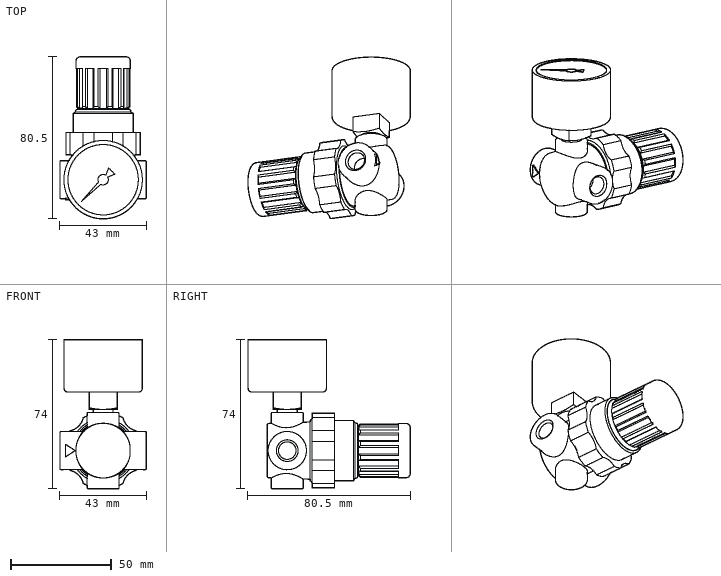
import cadquery as cq
import math


block_front_y = -10.0
block_front_radius = 13.5
block_back_radius = 14.25
block_edge_fillet = 1.0
collar_front_y = 11.35
collar_radius = 15.9
collar_chamfer = 1.0

nut_front_y = collar_front_y + collar_chamfer
nut_back_y = 23.5
nut_radius = 19.1
nut_lobes = 8
lobe_half_angle = 8.7
hollow_floor_radius = 17.2

bonnet_radius = 15.0
bonnet_back_y = 33.5
bonnet_chamfer_length = 0.6
bonnet_chamfer_depth = 1.05
ring_radius = 13.8
ring_back_y = 34.9
ring_fillet = 1.0

knob_neck_radius = 10.7
knob_front_y = 35.4
knob_back_y = 61.0
knob_radius = 13.5
knob_cap_length = 5.95
knob_cap_fillet = 2.2
rib_end_chamfer = 0.8
flute_count = 12
flute_floor_radius = knob_radius - rib_end_chamfer
flute_floor_half_width = 1.6
flute_mouth_half_width = 2.5
flute_clearance = 0.8

flow_port_radius = 9.5
flow_port_reach = 21.5
flow_bore_radius = 4.35
flow_bore_depth = 9.7
flow_bore_chamfer = 1.05
gauge_port_radius = 8.0
gauge_port_reach = 19.0
port_edge_fillet = 0.7

arrow_tail_x = -18.6
arrow_tip_x = -13.85
arrow_half_width = 3.05

gauge_neck_radius = 5.0
gauge_square_bottom_z = 20.45
gauge_square_side = 14.0
gauge_square_bevel_angle = 15
gauge_case_bottom_z = 29.0
gauge_case_top_z = 55.0
gauge_case_radius = 19.5
gauge_case_fillet = 1.9
dial_radius = 17.5
dial_depth = 0.5

pointer_height = 0.25
pointer_angle = 45
hub_radius = 2.6
tail_length = 6.0
tail_half_width = 2.2
tail_root_half_width = 0.65
needle_length = 15.1
needle_root_half_width = 0.8


def y_plane(y):
    """Plane across the regulator axis at position y, facing -Y; local x along X, local y along Z."""
    return cq.Workplane("XZ", origin=(0, y, 0))


def y_cylinder(radius, start_y, end_y):
    return y_plane(end_y).circle(radius).extrude(end_y - start_y)


def polar(radius, degrees):
    angle = math.radians(degrees)
    return (radius * math.cos(angle), radius * math.sin(angle))


def make_block():
    """Tapered valve block with the chamfered collar behind it."""
    taper = (
        cq.Workplane("XY")
        .polyline([
            (0, block_front_y),
            (block_front_radius, block_front_y),
            (block_back_radius, collar_front_y),
            (0, collar_front_y),
        ])
        .close()
        .revolve(360, (0, 0, 0), (0, 1, 0))
        .faces("<Y")
        .edges()
        .fillet(block_edge_fillet)
    )
    collar = y_cylinder(collar_radius, collar_front_y, nut_back_y)
    collar = collar.faces("<Y").edges().chamfer(collar_chamfer)
    return taper.union(collar)


def make_nut():
    """Nut outline of convex lobes joined by concave hollows."""
    pitch = 360 / nut_lobes
    outline = y_plane(nut_back_y).moveTo(*polar(nut_radius, pitch / 2 - lobe_half_angle))
    for index in range(nut_lobes):
        lobe_angle = (index + 0.5) * pitch
        hollow_angle = (index + 1) * pitch
        outline = outline.threePointArc(
            polar(nut_radius, lobe_angle), polar(nut_radius, lobe_angle + lobe_half_angle)
        )
        outline = outline.threePointArc(
            polar(hollow_floor_radius, hollow_angle),
            polar(nut_radius, lobe_angle + pitch - lobe_half_angle),
        )
    return outline.close().extrude(nut_back_y - nut_front_y)


def make_bonnet():
    bonnet = y_cylinder(bonnet_radius, nut_back_y, bonnet_back_y)
    bonnet = bonnet.faces(">Y").edges().chamfer(bonnet_chamfer_length, bonnet_chamfer_depth)
    ring = y_cylinder(ring_radius, nut_back_y, ring_back_y)
    ring = ring.faces(">Y").edges().fillet(ring_fillet)
    return bonnet.union(ring)


def make_flute_cutters():
    """Slope-sided cutters, one per flute, that leave a round floor on the knob."""
    length = knob_back_y - knob_cap_length - knob_front_y
    floor_z = math.sqrt(flute_floor_radius**2 - flute_floor_half_width**2)
    mouth_z = math.sqrt(knob_radius**2 - flute_mouth_half_width**2)
    side_slope = (flute_mouth_half_width - flute_floor_half_width) / (mouth_z - floor_z)
    outer_z = knob_radius + flute_clearance
    outer_half_width = flute_floor_half_width + side_slope * (outer_z - floor_z)
    cutter = (
        y_plane(knob_front_y + length)
        .moveTo(-flute_floor_half_width, floor_z)
        .threePointArc((0, flute_floor_radius), (flute_floor_half_width, floor_z))
        .lineTo(outer_half_width, outer_z)
        .lineTo(-outer_half_width, outer_z)
        .close()
        .extrude(length)
    )
    pitch = 360 / flute_count
    return [cutter.rotate((0, 0, 0), (0, 1, 0), index * pitch) for index in range(flute_count)]


def make_knob():
    knob = y_cylinder(knob_radius, knob_front_y, knob_back_y)
    knob = knob.faces(">Y").edges().fillet(knob_cap_fillet)
    knob = knob.faces("<Y").edges().chamfer(rib_end_chamfer)
    for cutter in make_flute_cutters():
        knob = knob.cut(cutter)
    neck = y_cylinder(knob_neck_radius, bonnet_back_y, knob_front_y)
    return knob.union(neck)


def make_flow_ports():
    ports = cq.Workplane("YZ").circle(flow_port_radius).extrude(flow_port_reach, both=True)
    return ports.faces("<X or >X").edges().fillet(port_edge_fillet)


def make_gauge_ports():
    ports = cq.Workplane("XY").circle(gauge_port_radius).extrude(gauge_port_reach, both=True)
    return ports.faces("<Z or >Z").edges().fillet(port_edge_fillet)


def make_flow_bores():
    """Blind bores with a chamfered mouth, one in each flow port."""
    floor_x = flow_port_reach - flow_bore_depth
    mouth_radius = flow_bore_radius + flow_bore_chamfer
    bore = (
        cq.Workplane("XY")
        .polyline([
            (floor_x, 0),
            (floor_x, flow_bore_radius),
            (flow_port_reach - flow_bore_chamfer, flow_bore_radius),
            (flow_port_reach, mouth_radius),
            (flow_port_reach, 0),
        ])
        .close()
        .revolve(360, (0, 0, 0), (1, 0, 0))
    )
    return bore.union(bore.mirror("YZ"))


def make_flow_arrow():
    """Triangle standing on the inlet port, level with the front of the block."""
    return (
        y_plane(0)
        .polyline([
            (arrow_tail_x, -arrow_half_width),
            (arrow_tail_x, arrow_half_width),
            (arrow_tip_x, 0),
        ])
        .close()
        .extrude(-block_front_y)
    )


def make_regulator():
    return (
        make_block()
        .union(make_nut())
        .union(make_bonnet())
        .union(make_knob())
        .union(make_flow_ports())
        .union(make_gauge_ports())
        .union(make_flow_arrow())
        .cut(make_flow_bores())
    )


def make_gauge_stem():
    """Round neck and wrench square, the square's lower corners bevelled by a cone."""
    neck_length = gauge_square_bottom_z - gauge_port_reach
    neck = (
        cq.Workplane("XY", origin=(0, 0, gauge_port_reach))
        .circle(gauge_neck_radius)
        .extrude(neck_length)
    )
    square_height = gauge_case_bottom_z - gauge_square_bottom_z
    square = (
        cq.Workplane("XY", origin=(0, 0, gauge_square_bottom_z))
        .rect(gauge_square_side, gauge_square_side)
        .extrude(square_height)
    )
    flat_radius = gauge_square_side / 2
    outer_radius = gauge_square_side
    rise = (outer_radius - flat_radius) * math.tan(math.radians(gauge_square_bevel_angle))
    bevel = (
        cq.Workplane("XZ")
        .polyline([
            (0, gauge_square_bottom_z),
            (flat_radius, gauge_square_bottom_z),
            (outer_radius, gauge_square_bottom_z + rise),
            (outer_radius, gauge_case_bottom_z),
            (0, gauge_case_bottom_z),
        ])
        .close()
        .revolve(360, (0, 0, 0), (0, 1, 0))
    )
    return neck.union(square.intersect(bevel))


def make_pointer(dial_z):
    """Raised needle, hub and flared tail on the dial."""
    plane = cq.Workplane("XY", origin=(0, 0, dial_z))
    hub = plane.circle(hub_radius).extrude(pointer_height)
    tail_root = math.sqrt(hub_radius**2 - tail_root_half_width**2)
    needle_root = math.sqrt(hub_radius**2 - needle_root_half_width**2)
    arms = (
        plane.polyline([
            (tail_root, tail_root_half_width),
            (tail_length, tail_half_width),
            (tail_length, -tail_half_width),
            (tail_root, -tail_root_half_width),
            (-needle_root, -needle_root_half_width),
            (-needle_length, 0),
            (-needle_root, needle_root_half_width),
        ])
        .close()
        .extrude(pointer_height)
    )
    return hub.union(arms).rotate((0, 0, 0), (0, 0, 1), pointer_angle)


def make_gauge():
    """Case with a recessed dial and raised pointer, on a stem seated on the upper gauge port."""
    case = (
        cq.Workplane("XY", origin=(0, 0, gauge_case_bottom_z))
        .circle(gauge_case_radius)
        .extrude(gauge_case_top_z - gauge_case_bottom_z)
        .faces("<Z")
        .edges()
        .fillet(gauge_case_fillet)
    )
    dial_z = gauge_case_top_z - dial_depth
    dial_recess = cq.Workplane("XY", origin=(0, 0, dial_z)).circle(dial_radius).extrude(dial_depth)
    return case.cut(dial_recess).union(make_gauge_stem()).union(make_pointer(dial_z))


regulator = make_regulator()
gauge = make_gauge()

result = cq.Compound.makeCompound([regulator.solids().val(), gauge.solids().val()])